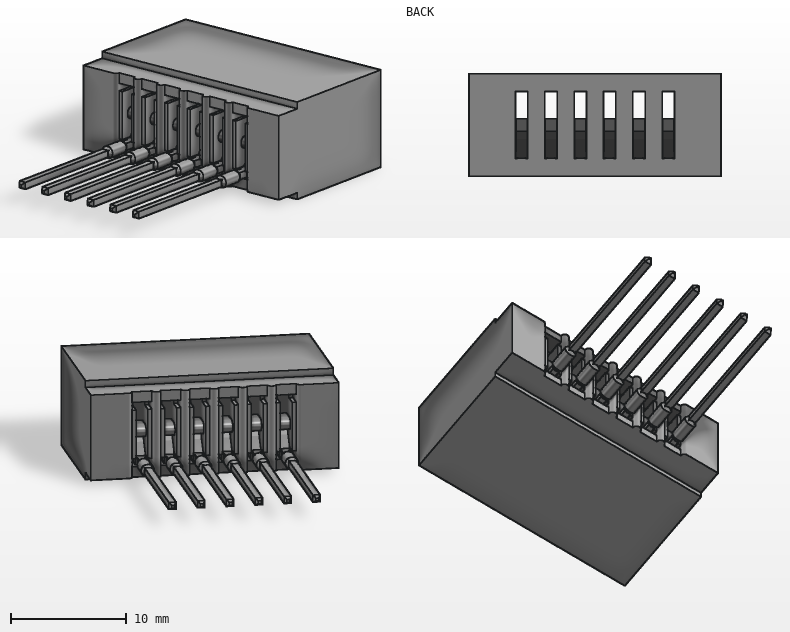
import cadquery as cq
import math


contact_count = 6
pitch = 2.54
row_height = 2.54
row_positions = [(i - (contact_count - 1) / 2) * pitch for i in range(contact_count)]

housing_width = 21.84
housing_depth = 13.97
housing_height = 8.89
nose_depth = 2.54
nose_step = 0.61
nose_height = housing_height - 2 * nose_step

rib_radius = 0.375
rib_tip_width = 0.03
recess_depth = rib_radius
pocket_mouth_width = pitch - rib_tip_width
pocket_width = pocket_mouth_width - 2 * rib_radius

cross_slot_height = 0.70
cross_slot_depth = 1.5
window_width = 1.05
window_height = 2 * row_height + cross_slot_height

pin_size = 0.64
tail_length = 14.22
tip_length = 0.32
tip_size = 0.25
barrel_width = 1.14
barrel_height = 1.08
barrel_corner_radius = 0.52
barrel_start = 0.08
barrel_length = 2.54
barrel_taper_length = 0.32
barrel_taper_depth = (barrel_height - pin_size) / 2

spring_width = 1.0
spring_thickness = 0.3
blade_start = 0.8
blade_end = 1.4
ramp_kink_y = 2.2
ramp_kink_z = -1.19
ramp_end_y = 2.6
bend_radius = 0.55
bend_center_y = 1.6


def box(width, y_start, y_end, height, x=0.0, z=0.0):
    """Block between two Y positions, centred on x and z."""
    block = cq.Workplane("XY").box(width, y_end - y_start, height)
    return block.translate((x, (y_start + y_end) / 2, z))


def make_pocket_cutter(x):
    """Flat-floored pocket whose mouth flares along quarter rounds that form the ribs."""
    half_mouth = pocket_mouth_width / 2
    half_floor = pocket_width / 2
    arc_inset = rib_radius * (1 - math.sqrt(0.5))
    arc_x = half_floor + arc_inset
    arc_y = arc_inset
    outline = (
        cq.Workplane("XY")
        .moveTo(-half_mouth, 0)
        .threePointArc((-arc_x, arc_y), (-half_floor, recess_depth))
        .lineTo(half_floor, recess_depth)
        .threePointArc((arc_x, arc_y), (half_mouth, 0))
        .close()
    )
    return outline.extrude(housing_height / 2, both=True).translate((x, 0, 0))


def make_housing():
    body = box(housing_width, nose_depth, housing_depth, housing_height)
    body = body.union(box(housing_width, 0, nose_depth, nose_height))
    slot_end = recess_depth + cross_slot_depth
    for x in row_positions:
        body = body.cut(make_pocket_cutter(x))
        body = body.cut(box(window_width, 0, housing_depth, window_height, x))
        for z in (-row_height, row_height):
            body = body.cut(box(pocket_width, recess_depth, slot_end, cross_slot_height, x, z))
    return body


def make_tail():
    """Square pin with a pointed tip and a tapered, nearly round barrel, centred on Z = 0."""
    tip_start = tail_length - tip_length
    pin = box(pin_size, -tip_start, blade_start, pin_size)
    tip = (
        cq.Workplane("XZ", origin=(0, -tip_start, 0))
        .rect(pin_size, pin_size)
        .workplane(offset=tip_length)
        .rect(tip_size, tip_size)
        .loft()
    )
    barrel_end = barrel_start + barrel_length
    barrel = box(barrel_width, -barrel_end, -barrel_start, barrel_height)
    barrel = barrel.edges("|Y").fillet(barrel_corner_radius)
    for end_face in ("<Y", ">Y"):
        barrel = barrel.faces(end_face).chamfer(barrel_taper_depth, barrel_taper_length)
    return pin.union(tip).union(barrel)


def make_spring():
    """Blade that ramps up in two slopes and ends in a round contact bend facing -Y."""
    blade_top = -row_height + pin_size / 2
    blade_bottom = -row_height - pin_size / 2
    ramp_back_y = ramp_end_y + spring_thickness
    profile = (
        cq.Workplane("YZ")
        .moveTo(blade_start, blade_bottom)
        .lineTo(blade_end + spring_thickness, blade_bottom)
        .lineTo(ramp_kink_y + spring_thickness, ramp_kink_z)
        .lineTo(ramp_back_y, -bend_radius)
        .lineTo(ramp_back_y, bend_radius)
        .lineTo(bend_center_y, bend_radius)
        .threePointArc((bend_center_y - bend_radius, 0), (bend_center_y, -bend_radius))
        .lineTo(ramp_end_y, -bend_radius)
        .lineTo(ramp_kink_y, ramp_kink_z)
        .lineTo(blade_end, blade_top)
        .lineTo(blade_start, blade_top)
        .close()
    )
    return profile.extrude(spring_width / 2, both=True)


def make_contact(x):
    tail = make_tail().translate((0, 0, -row_height))
    return tail.union(make_spring()).translate((x, 0, 0))


housing = make_housing()
contacts = [make_contact(x) for x in row_positions]

result = cq.Compound.makeCompound([housing.val(), *[contact.val() for contact in contacts]])